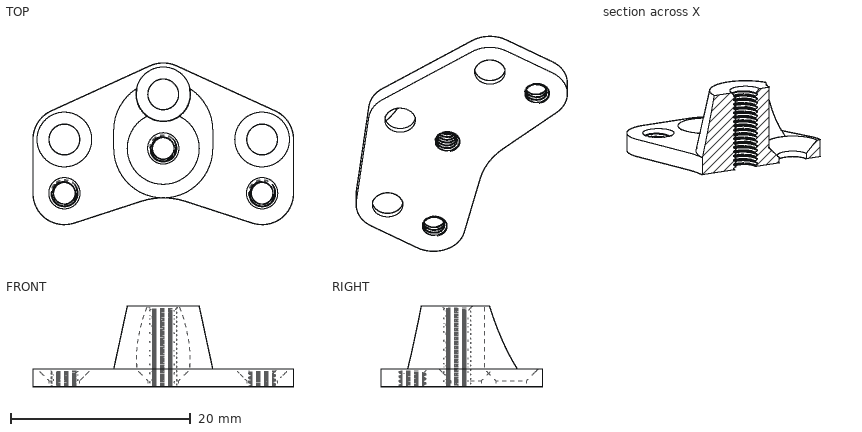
import cadquery as cq
import math

PLATE_LENGTH = 29.0
PLATE_THICKNESS = 2.0
CORNER_RADIUS = 3.5
NOTCH_RADIUS = 8.0
SIDE_X = PLATE_LENGTH / 2 - CORNER_RADIUS

SCREW_SIDE_Y = 1.0
SCREW_REAR_Y = 6.0
SCREW_DIAMETER = 3.4
COUNTERSINK_DIAMETER = 6.1
COUNTERSINK_ANGLE = 90
HEAD_CLEARANCE_RADIUS = 3.0

TOTAL_HEIGHT = 9.0
BOSS_HEIGHT = TOTAL_HEIGHT - PLATE_THICKNESS
BOSS_TOP_RADIUS = 4.0
BOSS_FOOT_RADIUS = 5.5
BOSS_FOOT_SHIFT = 2.0

TAPPED_SIDE_Y = -5.0
THREAD_MAJOR_RADIUS = 1.5
THREAD_MINOR_RADIUS = 1.22
THREAD_PITCH = 0.5
THREAD_FLANK_ANGLE = 30
THREAD_START_ANGLE = 180
TAP_TURNS = 2
TAP_LENGTH = TAP_TURNS * THREAD_PITCH
GROOVE_FLOOR_TURN = 2 * math.pi / 8
LEAD_IN_RADIUS = 1.75
LEAD_IN_DEPTH = LEAD_IN_RADIUS - THREAD_MINOR_RADIUS

ORIGIN = (0, 0)


def on_circle(center, radius, angle):
    return (center[0] + radius * math.cos(angle), center[1] + radius * math.sin(angle))


def mirrored(point):
    return (-point[0], point[1])


def flipped(point):
    return (point[0], -point[1])


def make_plate():
    rear = (0, SCREW_REAR_Y)
    shoulder = (SIDE_X, SCREW_SIDE_Y)
    front = (SIDE_X, TAPPED_SIDE_Y)
    notch = (0, -BOSS_FOOT_RADIUS - NOTCH_RADIUS)

    rear_normal = math.atan2(SIDE_X, SCREW_REAR_Y - SCREW_SIDE_Y)
    rise = front[1] - notch[1]
    center_distance = math.hypot(SIDE_X, rise)
    front_normal = math.atan2(rise, SIDE_X) + math.acos((NOTCH_RADIUS + CORNER_RADIUS) / center_distance)

    rear_end = on_circle(rear, CORNER_RADIUS, rear_normal)
    shoulder_start = on_circle(shoulder, CORNER_RADIUS, rear_normal)
    shoulder_middle = on_circle(shoulder, CORNER_RADIUS, rear_normal / 2)
    shoulder_end = on_circle(shoulder, CORNER_RADIUS, 0)
    front_start = on_circle(front, CORNER_RADIUS, 0)
    front_middle = on_circle(front, CORNER_RADIUS, (front_normal - math.pi) / 2)
    front_end = on_circle(front, CORNER_RADIUS, front_normal - math.pi)
    notch_end = on_circle(notch, NOTCH_RADIUS, front_normal)

    return (
        cq.Workplane("XY")
        .moveTo(*mirrored(rear_end))
        .threePointArc((0, SCREW_REAR_Y + CORNER_RADIUS), rear_end)
        .lineTo(*shoulder_start)
        .threePointArc(shoulder_middle, shoulder_end)
        .lineTo(*front_start)
        .threePointArc(front_middle, front_end)
        .lineTo(*notch_end)
        .threePointArc((0, -BOSS_FOOT_RADIUS), mirrored(notch_end))
        .lineTo(*mirrored(front_end))
        .threePointArc(mirrored(front_middle), mirrored(front_start))
        .lineTo(*mirrored(shoulder_end))
        .threePointArc(mirrored(shoulder_middle), mirrored(shoulder_start))
        .close()
        .extrude(PLATE_THICKNESS)
    )


def half_disc(center_y, z, radius, side):
    """Half-disc face outline facing +Y for side 1 and -Y for side -1."""
    return (
        cq.Workplane("XY", origin=(0, center_y, z))
        .moveTo(radius, 0)
        .threePointArc((0, side * radius), (-radius, 0))
        .close()
        .val()
    )


def half_cone(foot_y, side):
    foot = half_disc(foot_y, PLATE_THICKNESS, BOSS_FOOT_RADIUS, side)
    top = half_disc(0, TOTAL_HEIGHT, BOSS_TOP_RADIUS, side)
    return cq.Workplane(cq.Solid.makeLoft([foot, top], True))


def make_boss():
    """Upright front half cone and leaning rear half cone, joined by a wedge with flat sides."""
    tapered_block = (
        cq.Workplane("XZ")
        .polyline([
            (-BOSS_FOOT_RADIUS, PLATE_THICKNESS),
            (BOSS_FOOT_RADIUS, PLATE_THICKNESS),
            (BOSS_TOP_RADIUS, TOTAL_HEIGHT),
            (-BOSS_TOP_RADIUS, TOTAL_HEIGHT),
        ])
        .close()
        .extrude(-BOSS_FOOT_SHIFT)
    )
    lean = (
        cq.Workplane("YZ")
        .polyline([(0, PLATE_THICKNESS), (BOSS_FOOT_SHIFT, PLATE_THICKNESS), (0, TOTAL_HEIGHT)])
        .close()
        .extrude(BOSS_FOOT_RADIUS, both=True)
    )
    wedge = tapered_block.intersect(lean)
    boss = wedge.union(half_cone(0, -1)).union(half_cone(BOSS_FOOT_SHIFT, 1))
    head_clearance = (
        cq.Workplane("XY", origin=(0, SCREW_REAR_Y, PLATE_THICKNESS))
        .circle(HEAD_CLEARANCE_RADIUS)
        .extrude(BOSS_HEIGHT)
    )
    return boss.cut(head_clearance)


def make_tap():
    """Threaded rod of a few whole turns: its constant cross-section, twisted one turn per pitch."""
    thread_depth = THREAD_MAJOR_RADIUS - THREAD_MINOR_RADIUS
    flank_width = thread_depth * math.tan(math.radians(THREAD_FLANK_ANGLE))
    flank_turn = 2 * math.pi * flank_width / THREAD_PITCH
    floor_end = GROOVE_FLOOR_TURN / 2

    outer = on_circle(ORIGIN, THREAD_MAJOR_RADIUS, floor_end)
    middle = on_circle(ORIGIN, THREAD_MAJOR_RADIUS - thread_depth / 2, floor_end + flank_turn / 2)
    inner = on_circle(ORIGIN, THREAD_MINOR_RADIUS, floor_end + flank_turn)
    return (
        cq.Workplane("XY")
        .moveTo(*outer)
        .threePointArc(middle, inner)
        .threePointArc((-THREAD_MINOR_RADIUS, 0), flipped(inner))
        .threePointArc(flipped(middle), flipped(outer))
        .threePointArc((THREAD_MAJOR_RADIUS, 0), outer)
        .close()
        .twistExtrude(TAP_LENGTH, 360 * TAP_TURNS)
        .rotate((0, 0, 0), (0, 0, 1), THREAD_START_ANGLE)
    )


def make_tapped_hole(depth):
    """Void of a threaded through hole: stacked taps sewn together under a 45 degree lead-in."""
    tap = make_tap()
    pieces = [tap.translate((0, 0, piece * TAP_LENGTH)) for piece in range(math.ceil(depth / TAP_LENGTH))]
    skin = pieces[0].faces("<Z").vals() + pieces[-1].faces(">Z").vals()
    for piece in pieces:
        skin += piece.faces("not %PLANE").vals()
    rod = cq.Solid.makeSolid(cq.Shell.makeShell(skin))
    lead_in = cq.Solid.makeCone(
        THREAD_MINOR_RADIUS,
        LEAD_IN_RADIUS,
        LEAD_IN_DEPTH,
        pnt=cq.Vector(0, 0, depth - LEAD_IN_DEPTH),
    )
    return cq.Workplane(rod).union(cq.Workplane(lead_in))


plate = (
    make_plate()
    .faces(">Z")
    .workplane(origin=(0, 0, PLATE_THICKNESS))
    .pushPoints([(-SIDE_X, SCREW_SIDE_Y), (SIDE_X, SCREW_SIDE_Y), (0, SCREW_REAR_Y)])
    .cskHole(SCREW_DIAMETER, COUNTERSINK_DIAMETER, COUNTERSINK_ANGLE)
)

result = plate.union(make_boss())
side_hole = make_tapped_hole(PLATE_THICKNESS)
for hole_x in (-SIDE_X, SIDE_X):
    result = result.cut(side_hole.translate((hole_x, TAPPED_SIDE_Y, 0)))
result = result.cut(make_tapped_hole(TOTAL_HEIGHT))
result = cq.Workplane(result.solids().val())